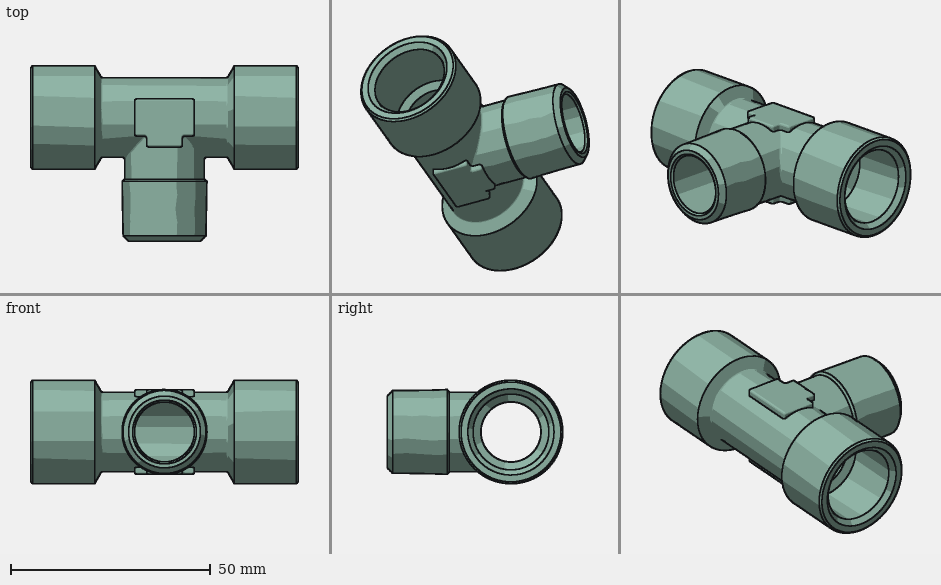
import cadquery as cq
import math

run_length = 67.0
tube_radius = 10.0
bore_radius = 7.5
socket_radius = 13.0
socket_length = 16.0
shoulder_angle = math.radians(60)
shoulder_length = (socket_radius - tube_radius) / math.tan(shoulder_angle)
shoulder_fillet = 0.5
socket_rim_chamfer = 0.5
socket_bore_radius = 9.5
socket_mouth_radius = 10.8
socket_mouth_depth = 1.3
socket_bore_depth = 15.0
drill_tip_half_angle = math.radians(59)
drill_cone_length = (socket_bore_radius - bore_radius) / math.tan(drill_tip_half_angle)

branch_reach = 31.0
spigot_length = 15.0
spigot_root_radius = 10.65
spigot_root_chamfer = 0.6
spigot_tip_radius = 10.4
spigot_tip_face_radius = 9.0
spigot_tip_chamfer_length = 1.4
branch_mouth_radius = 8.0
branch_mouth_depth = branch_mouth_radius - bore_radius

junction_fillet = 0.5

pad_height = 10.6
pad_base_height = 7.0
pad_width = 15.0
pad_half_depth = 4.65
pad_stem_width = 9.0
pad_stem_reach = 7.4
pad_fillet = 0.6


def revolve_about_x(profile):
    """Revolve (x, radius) points about the X axis."""
    return cq.Workplane("XY").polyline(profile).close().revolve(360, (0, 0, 0), (1, 0, 0))


def revolve_about_y(profile):
    """Revolve (radius, y) points about the Y axis."""
    return cq.Workplane("XY").polyline(profile).close().revolve(360, (0, 0, 0), (0, 1, 0))


def make_run():
    """Outside of the run: the tube with a socket and a blended shoulder cone at each end."""
    end = run_length / 2
    socket_start = end - socket_length
    shoulder_start = socket_start - shoulder_length
    half_profile = [
        (shoulder_start, tube_radius),
        (socket_start, socket_radius),
        (end - socket_rim_chamfer, socket_radius),
        (end, socket_radius - socket_rim_chamfer),
        (end, 0),
    ]
    mirrored_half = [(-x, radius) for x, radius in reversed(half_profile)]
    run = revolve_about_x(mirrored_half + half_profile)
    shoulder_foot = cq.selectors.RadiusNthSelector(0)
    return run.edges("%CIRCLE").edges(shoulder_foot).fillet(shoulder_fillet)


def make_branch():
    """Outside of the branch: the tube and its tapered, chamfered spigot."""
    root = -branch_reach + spigot_length
    return revolve_about_y([
        (0, 0),
        (tube_radius, 0),
        (tube_radius, root + spigot_root_chamfer),
        (spigot_root_radius, root),
        (spigot_tip_radius, -branch_reach + spigot_tip_chamfer_length),
        (spigot_tip_face_radius, -branch_reach),
        (0, -branch_reach),
    ])


def blend_junction(body):
    """Fillet the inner corners between run and branch, from the top pad to the bottom pad."""
    corner_centers = cq.selectors.BoxSelector(
        (-tube_radius, -tube_radius, -pad_base_height),
        (tube_radius, -pad_half_depth, pad_base_height),
    )
    return body.edges(corner_centers).fillet(junction_fillet)


def make_run_bore():
    """Cavity of the run: through bore, and in each socket a drill cone, bore and mouth chamfer."""
    end = run_length / 2
    bottom = end - socket_bore_depth
    half_profile = [
        (bottom - drill_cone_length, bore_radius),
        (bottom, socket_bore_radius),
        (end - socket_mouth_depth, socket_bore_radius),
        (end, socket_mouth_radius),
        (end, 0),
    ]
    mirrored_half = [(-x, radius) for x, radius in reversed(half_profile)]
    return revolve_about_x(mirrored_half + half_profile)


def make_branch_bore():
    """Bore of the branch, opening into the run, with a mouth chamfer."""
    return revolve_about_y([
        (0, 0),
        (bore_radius, 0),
        (bore_radius, -branch_reach + branch_mouth_depth),
        (branch_mouth_radius, -branch_reach),
        (0, -branch_reach),
    ])


def make_pad():
    """Top pad: a T outline with rounded corners and a rounded top rim."""
    half_width = pad_width / 2
    half_stem = pad_stem_width / 2
    outline = [
        (-half_width, pad_half_depth),
        (half_width, pad_half_depth),
        (half_width, -pad_half_depth),
        (half_stem, -pad_half_depth),
        (half_stem, -pad_stem_reach),
        (-half_stem, -pad_stem_reach),
        (-half_stem, -pad_half_depth),
        (-half_width, -pad_half_depth),
    ]
    pad = cq.Workplane("XY").workplane(offset=pad_base_height).polyline(outline).close()
    pad = pad.extrude(pad_height - pad_base_height)
    return pad.edges("|Z or >Z").fillet(pad_fillet)


pad = make_pad()
body = make_run().union(make_branch()).union(pad).union(pad.mirror("XY"))
body = blend_junction(body)
result = body.cut(make_run_bore()).cut(make_branch_bore())